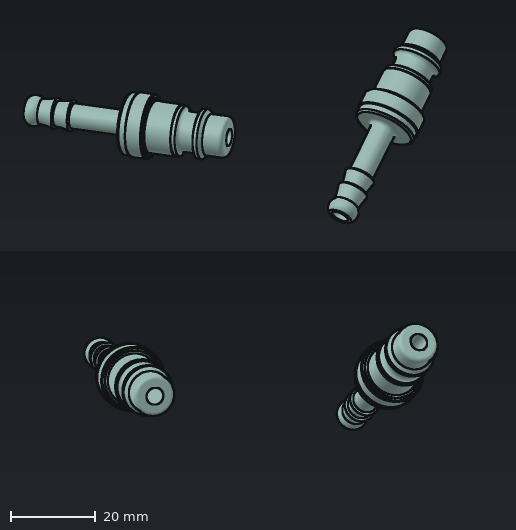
import cadquery as cq

total_length = 50.5
bore_radius = 4.1 / 2

stem_radius = 6.1 / 2
bulb_end_radius = 2.9
bulb_peak_x = 1.7
bulb_radius = 3.8
bulb_length = 3.5
barb_radius = 3.75
barb_pitch = 4.0
barb_count = 2
barb_lip = 0.3
barb_sag = 0.1

shoulder_x = 24.95
shoulder_radius = 15.0 / 2
shoulder_chamfer = 0.5
stem_fillet = 1.0
shoulder_end_x = 27.05

ring_radius = 15.5 / 2
ring_end_x = 31.2
ring_front_chamfer = 0.15
ring_back_chamfer = 0.25
seat_radius = 13.85 / 2
seat_end_x = 31.5

barrel_radius = 12.5 / 2
barrel_end_x = 38.0
rim_radius = 12.0 / 2
rim_end_x = 39.0
neck_radius = 9.75 / 2
neck_fillet = rim_radius - neck_radius
tip_radius = 10.0 / 2
ridge_bevel = rim_radius - tip_radius
ridge_x = 43.45
ridge_width = 1.05
tip_fillet = 1.0


def add_bulb(profile):
    """Round the hose end up to its peak and back down to the stem."""
    return profile.lineTo(0, bulb_end_radius).threePointArc(
        (bulb_peak_x, bulb_radius), (bulb_length, stem_radius)
    )


def add_barb(profile, start_x):
    """One barb from the stem surface: a slightly hollow slope, a rounded crest and a square back."""
    back_x = start_x + barb_pitch
    crest_x = back_x - barb_lip
    slope_middle = ((start_x + crest_x) / 2, (stem_radius + barb_radius) / 2 - barb_sag)
    return (
        profile.threePointArc(slope_middle, (crest_x, barb_radius))
        .radiusArc((back_x, barb_radius - barb_lip), barb_lip)
        .lineTo(back_x, stem_radius)
    )


def add_shoulder_and_seat(profile):
    """Stem up to its fillet, the bevelled shoulder and the seat behind it."""
    return (
        profile.lineTo(shoulder_x - stem_fillet, stem_radius)
        .radiusArc((shoulder_x, stem_radius + stem_fillet), -stem_fillet)
        .lineTo(shoulder_x, shoulder_radius - shoulder_chamfer)
        .lineTo(shoulder_x + shoulder_chamfer, shoulder_radius)
        .lineTo(shoulder_end_x, shoulder_radius)
        .lineTo(shoulder_end_x, seat_radius)
        .lineTo(seat_end_x, seat_radius)
    )


def add_plug(profile):
    """Barrel, rim, locking neck, ridge and rounded tip."""
    return (
        profile.lineTo(seat_end_x, barrel_radius)
        .lineTo(barrel_end_x, barrel_radius)
        .lineTo(barrel_end_x, rim_radius)
        .lineTo(rim_end_x, rim_radius)
        .radiusArc((rim_end_x + neck_fillet, neck_radius), -neck_fillet)
        .lineTo(ridge_x - neck_fillet, neck_radius)
        .radiusArc((ridge_x, rim_radius), -neck_fillet)
        .lineTo(ridge_x + ridge_width, rim_radius)
        .lineTo(ridge_x + ridge_width + ridge_bevel, tip_radius)
        .lineTo(total_length - tip_fillet, tip_radius)
        .radiusArc((total_length, tip_radius - tip_fillet), tip_fillet)
    )


def turn(profile):
    """Close a half profile and turn it about the X axis."""
    return profile.close().revolve(360, (0, 0, 0), (1, 0, 0))


def make_nipple():
    """Hose stem, shoulder, ring seat and plug in one bored piece."""
    profile = add_bulb(cq.Workplane("XY").moveTo(0, bore_radius))
    for index in range(barb_count):
        profile = add_barb(profile, bulb_length + index * barb_pitch)
    profile = add_shoulder_and_seat(profile)
    profile = add_plug(profile)
    return turn(profile.lineTo(total_length, bore_radius))


def make_ring():
    """Ring bevelled on both outer edges, with a bore that fits the seat."""
    return turn(
        cq.Workplane("XY")
        .moveTo(shoulder_end_x, seat_radius)
        .lineTo(shoulder_end_x, ring_radius - ring_front_chamfer)
        .lineTo(shoulder_end_x + ring_front_chamfer, ring_radius)
        .lineTo(ring_end_x - ring_back_chamfer, ring_radius)
        .lineTo(ring_end_x, ring_radius - ring_back_chamfer)
        .lineTo(ring_end_x, seat_radius)
    )


nipple = make_nipple()
ring = make_ring()

result = cq.Compound.makeCompound([nipple.val(), ring.val()])